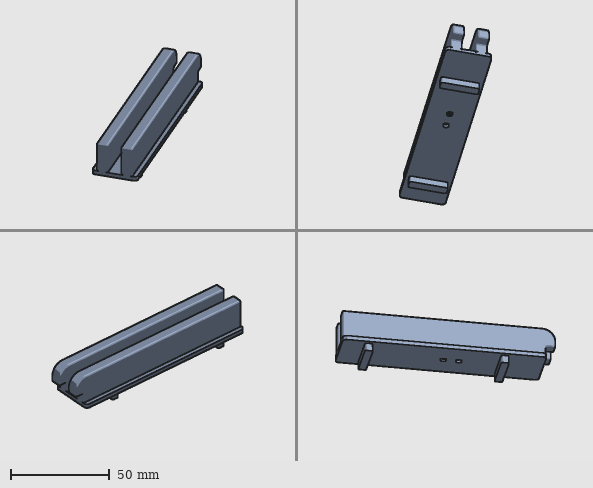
import cadquery as cq
import math

plate_width = 24.0
plate_thickness = 2.3
plate_corner_radius = 2.0
total_length = 109.5
tip_overhang = 5.0
plate_length = total_length - tip_overhang

fin_thickness = 6.0
fin_gap = 7.0
fin_height = 16.0
fin_edge_radius = 0.9
nose_radius = 7.0
tip_height = 10.5
notch_radius = 1.0

bar_width = 20.0
bar_depth = 4.0
bar_height = 4.2
bar_corner_radius = 1.0
front_bar_y = 13.6
bar_spacing = 70.0

hole_diameter = 3.0
hole_spacing = 8.0
slot_center_y = 57.5
slot_depth = 1.0


def make_plate():
    plate = cq.Workplane("XY").box(plate_width, plate_length, plate_thickness, centered=(True, False, False))
    return plate.edges("|Z").fillet(plate_corner_radius)


def make_fin(center_x):
    """Fin standing on the plate, with every edge rounded except those on the plate."""
    bottom = plate_thickness
    top = bottom + fin_height
    tip_bottom = top - tip_height
    nose_mid = nose_radius * math.sqrt(0.5)
    notch_mid = notch_radius * (1 - math.sqrt(0.5))

    fin = (
        cq.Workplane("YZ", origin=(center_x - fin_thickness / 2, 0, 0))
        .moveTo(0, bottom)
        .lineTo(0, top)
        .lineTo(total_length - nose_radius, top)
        .threePointArc(
            (total_length - nose_radius + nose_mid, top - nose_radius + nose_mid),
            (total_length, top - nose_radius),
        )
        .lineTo(total_length, tip_bottom)
        .lineTo(plate_length + notch_radius, tip_bottom)
        .threePointArc(
            (plate_length + notch_mid, tip_bottom - notch_mid),
            (plate_length, tip_bottom - notch_radius),
        )
        .lineTo(plate_length, bottom)
        .close()
        .extrude(fin_thickness)
    )
    side_edges = fin.faces("<X or >X").edges("not <Z")
    front_top_edge = fin.faces("<Y").edges(">Z")
    tip_bottom_edge = fin.faces(">Y").edges("<Z")
    return side_edges.add(front_top_edge).add(tip_bottom_edge).fillet(fin_edge_radius)


def make_bar(center_y):
    bar = cq.Workplane("XY").box(bar_width, bar_depth, bar_height, centered=(True, True, False))
    return bar.edges("|Z").fillet(bar_corner_radius).translate((0, center_y, -bar_height))


def make_slot_cutter():
    holes = (
        cq.Workplane("XY")
        .pushPoints([(0, slot_center_y - hole_spacing / 2), (0, slot_center_y + hole_spacing / 2)])
        .circle(hole_diameter / 2)
        .extrude(plate_thickness)
    )
    slot = (
        cq.Workplane("XY", origin=(0, slot_center_y, plate_thickness - slot_depth))
        .slot2D(hole_spacing + hole_diameter, hole_diameter, 90)
        .extrude(slot_depth)
    )
    return holes.union(slot)


result = make_plate()
for side in (-1, 1):
    result = result.union(make_fin(side * (fin_gap + fin_thickness) / 2))
for bar_y in (front_bar_y, front_bar_y + bar_spacing):
    result = result.union(make_bar(bar_y))
result = result.cut(make_slot_cutter())